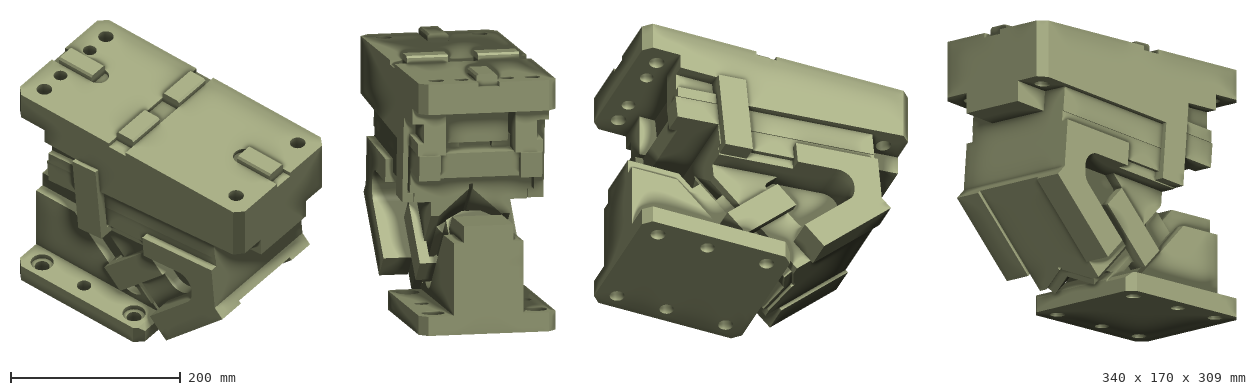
import cadquery as cq
import math

LENGTH = 340.0
WIDTH = 170.0
HALF_WIDTH = 82.3
HEIGHT = 309.0
CORNER = 10.0

TILT = math.radians(5)
TILT_START_Z = 203.0

ROOT2 = math.sqrt(2)

BASE_LENGTH = 189.0
FLANGE_HEIGHT = 22.8
BASE_TOP = 129.5
SHOULDER_TOP = 109.5
WEB_HALF = 30.0
BLOCK_HALF = 41.8
RAMP_H = 137.7
SHOULDER_H = 118.3
SLOT_END_S = 87.0
FLANGE_CUT_H = 145.5
STOP_H = 147.2
BASE_HOLE_INSET = 25.0
BASE_HOLE_Y = 62.0
BASE_BOLT_D = 17.7
BASE_BORE_D = 27.2
BASE_BORE_DEPTH = 6.5
DOWEL_D = 17.0
DOWEL_X = 88.5

ROOF = math.radians(30)
RAIL_HALF = 31.5
RAIL_EDGE_H = 150.3
RAIL_SKIRT_H = 121.0
RAIL_TOP_H = 162.2
RAIL_START_S = -20.7
RAIL_END_S = 102.5
WING_START_S = 50.3

FRONT_U = 95.0
END_U = 294.8
NOSE_U = 42.5
NOSE_HALF_GAP = 48.3
NOSE_SETBACK = 10.2
DECK_HALF = 74.0
DECK_V = -30.0
TEE_HALF = 73.0
TEE_V = -58.0
NECK_HALF = 68.0
NECK_V = -70.0
BODY_HALF = 47.5
BODY_H = 160.0
BODY_END_S = 135.0
CHEEK_U = 189.7
CHEEK_V = -42.0
CHEEK_TIP_H = 305.0
CHEEK_END_S = 139.0
CHEEK_FOOT_H = 184.5
CHEEK_INNER_S = 104.0
CHEEK_INNER_X = 267.2
CHEEK_RADIUS = 19.5
POCKET_FLOOR = 34.0
POCKET_START_S = 24.5
POCKET_H = 209.0
POCKET_SMALL_RADIUS = 8.0
GROOVE_HALF = 37.5
GROOVE_START_S = -54.5
RELIEF_HALF = 2.5
RELIEF_H = 184.3
PAD_START_S = 6.8
PAD_END_S = 131.5
STRAP_START_S = 35.5
STRAP_END_S = 69.5
STRAP_LOW_H = 128.2
STRAP_HIGH_H = 218.5
STRAP_OUTER = 57.8
STRAP_CLEAR = 45.2
STRAP_HOOK = 34.0

PLATE_TOP = 300.5
PLATE_LOW = 264.2
PLATE_STEP_X = 45.2
LIP_NECK = 68.0
LIP_HALF = 75.0
LIP_V = 14.3
STOP_V = -24.5
CAVITY_HALF = 41.8
CAVITY_BACK_X = 85.0
BOSS_HALF = 37.5
BOSS_FRONT_U = 68.0
BOSS_LOW_V = 9.0
BOSS_HIGH_V = 52.7
FOOT_FRONT_U = 74.8
FOOT_HIGH_V = 14.5
FOOT_SLOT_HALF = 19.7
RETAINER_END_U = 130.0
RETAINER_LOW_V = -69.0
RETAINER_HIGH_V = 34.0
RETAINER_LIP = 68.7
RETAINER_INNER = 76.0
RETAINER_HOOK_V = -59.0
KEY_WIDTH = 25.0
KEY_LENGTH = 49.5
KEY_CHAMFER = 2.5
KEYWAY_FLOOR = 295.0
END_KEY_INSET = 10.5
CROSS_KEY_X = 155.0
CROSS_KEY_Y = 43.0
PLATE_HOLE_INSET = 25.0
PLATE_HOLE_Y = 57.8
PLATE_HOLE_D = 18.5
PIN_HOLE_Y = 27.5
PIN_HOLE_D = 16.3

SIDES = (-1, 1)


def tilted(u, v):
    """X, Z of a point in the tilted frame."""
    x = u * math.cos(TILT) - v * math.sin(TILT)
    z = TILT_START_Z + u * math.sin(TILT) + v * math.cos(TILT)
    return x, z


def ramp(s, h):
    """X, Z of a point in the ramp frame."""
    return (h + s) / ROOT2, (h - s) / ROOT2


def tilted_meets_ramp(u, h):
    """X, Z where a line of constant u crosses a line of constant h."""
    total = h * ROOT2
    x = (u - (total - TILT_START_Z) * math.sin(TILT)) / (math.cos(TILT) - math.sin(TILT))
    return x, total - x


def tilted_at_x(x, v):
    """X, Z of the point with a given X on a line of constant v."""
    return x, TILT_START_Z + x * math.tan(TILT) + v / math.cos(TILT)


def slab(points, y0, y1):
    """Prism of an X-Z outline between two Y positions."""
    return cq.Workplane("XZ", origin=(0, y0, 0)).polyline(points).close().extrude(y0 - y1)


def middle_slab(points, half):
    """Prism of an X-Z outline, symmetric about the middle plane."""
    return slab(points, -half, half)


def side_slabs(points, inner, outer):
    """The same prism on both sides of the middle plane."""
    return slab(points, -outer, -inner).union(slab(points, inner, outer))


def tilted_box(u0, u1, v0, v1):
    return [tilted(u0, v0), tilted(u1, v0), tilted(u1, v1), tilted(u0, v1)]


def ramp_box(s0, s1, h0, h1):
    return [ramp(s0, h0), ramp(s1, h0), ramp(s1, h1), ramp(s0, h1)]


def ramp_bar(section, s0, s1):
    """Bar along the ramp with a section given as (y, h) points."""
    x, z = ramp(s0, 0)
    plane = cq.Plane(origin=(x, 0, z), xDir=(0, 1, 0), normal=(1, 0, -1))
    return cq.Workplane(plane).polyline(section).close().extrude(s1 - s0)


def roof_height(y):
    """Height h of the rail roof at a distance y from the middle plane."""
    return RAIL_EDGE_H + (RAIL_HALF - abs(y)) * math.tan(ROOF)


def roof_section(half, bottom):
    edge = roof_height(half)
    flat_half = (roof_height(0) - RAIL_TOP_H) / math.tan(ROOF)
    return [
        (-half, bottom),
        (half, bottom),
        (half, edge),
        (flat_half, RAIL_TOP_H),
        (-flat_half, RAIL_TOP_H),
        (-half, edge),
    ]


def corner_chamfered_plate(length, z0, z1):
    plate = cq.Workplane("XY", origin=(length / 2, 0, z0)).rect(length, 2 * HALF_WIDTH).extrude(z1 - z0)
    return plate.edges("|Z").chamfer(CORNER)


def base_flange():
    flange = corner_chamfered_plate(BASE_LENGTH, 0, FLANGE_HEIGHT)
    cut_z = FLANGE_CUT_H * ROOT2 - BASE_LENGTH
    cut_x = FLANGE_CUT_H * ROOT2 - FLANGE_HEIGHT
    cut = [(cut_x, FLANGE_HEIGHT), (BASE_LENGTH, FLANGE_HEIGHT), (BASE_LENGTH, cut_z)]
    flange = flange.cut(middle_slab(cut, HALF_WIDTH))
    bolts = [
        (x, side * BASE_HOLE_Y)
        for x in (BASE_HOLE_INSET, BASE_LENGTH - BASE_HOLE_INSET)
        for side in SIDES
    ]
    top = flange.copyWorkplane(cq.Workplane("XY", origin=(0, 0, FLANGE_HEIGHT)))
    flange = top.pushPoints(bolts).cboreHole(BASE_BOLT_D, BASE_BORE_D, BASE_BORE_DEPTH)
    top = flange.copyWorkplane(cq.Workplane("XY", origin=(0, 0, FLANGE_HEIGHT)))
    return top.pushPoints([(DOWEL_X, side * BASE_HOLE_Y) for side in SIDES]).hole(DOWEL_D)


def base_block():
    ramp_foot = (BASE_LENGTH, RAMP_H * ROOT2 - BASE_LENGTH)
    web = middle_slab(
        [(0, 0), (BASE_LENGTH, 0), ramp_foot, (RAMP_H * ROOT2 - BASE_TOP, BASE_TOP), (0, BASE_TOP)],
        WEB_HALF,
    )
    slot_radius = RAMP_H - SHOULDER_H
    arc_start_s = SLOT_END_S - slot_radius
    reach = slot_radius * math.sin(math.pi / 4)
    wide = (
        cq.Workplane("XZ")
        .moveTo(0, 0)
        .lineTo(BASE_LENGTH, 0)
        .lineTo(*ramp_foot)
        .lineTo(*ramp(SLOT_END_S, RAMP_H))
        .threePointArc(ramp(arc_start_s + reach, RAMP_H - reach), ramp(arc_start_s, SHOULDER_H))
        .lineTo(SHOULDER_H * ROOT2 - SHOULDER_TOP, SHOULDER_TOP)
        .lineTo(0, SHOULDER_TOP)
        .close()
        .extrude(BLOCK_HALF, both=True)
    )
    end_stop = middle_slab(
        [
            ramp(RAIL_END_S, RAMP_H),
            ramp_foot,
            (BASE_LENGTH, STOP_H * ROOT2 - BASE_LENGTH),
            ramp(RAIL_END_S, STOP_H),
        ],
        BLOCK_HALF,
    )
    return web.union(wide).union(end_stop)


def base_rail():
    skirted = ramp_bar(roof_section(RAIL_HALF, RAIL_SKIRT_H), RAIL_START_S, SLOT_END_S)
    rail = ramp_bar(roof_section(RAIL_HALF, RAMP_H), RAIL_START_S, RAIL_END_S)
    wings = ramp_bar(roof_section(BLOCK_HALF, RAMP_H), WING_START_S, RAIL_END_S)
    return skirted.union(rail).union(wings)


def make_base():
    return base_flange().union(base_block()).union(base_rail())


def slider_deck():
    deck = middle_slab(tilted_box(NOSE_U, END_U, DECK_V, 0), DECK_HALF)
    gap = tilted_box(NOSE_U, NOSE_U + NOSE_SETBACK, DECK_V, 0)
    tee = middle_slab(tilted_box(FRONT_U, END_U, TEE_V, DECK_V), TEE_HALF)
    neck = middle_slab(tilted_box(FRONT_U, END_U, NECK_V, TEE_V), NECK_HALF)
    return deck.cut(middle_slab(gap, NOSE_HALF_GAP)).union(tee).union(neck)


def slider_body():
    return middle_slab(
        [
            tilted(FRONT_U, NECK_V),
            tilted_meets_ramp(FRONT_U, BODY_H),
            ramp(BODY_END_S, BODY_H),
            ramp(BODY_END_S, CHEEK_TIP_H),
            tilted_meets_ramp(END_U, CHEEK_TIP_H),
            tilted(END_U, NECK_V),
        ],
        BODY_HALF,
    )


def hollow_corners():
    """Sharp inner corners that the cheeks and the side pockets share."""
    high = tilted_at_x(CHEEK_INNER_X, NECK_V)
    low = (CHEEK_INNER_X, CHEEK_INNER_X - CHEEK_INNER_S * ROOT2)
    return high, low


def cheek_hollow():
    high, low = hollow_corners()
    outline = [
        tilted(FRONT_U, NECK_V),
        high,
        low,
        ramp(CHEEK_INNER_S, CHEEK_FOOT_H),
        ramp(0, CHEEK_FOOT_H),
    ]
    hollow = middle_slab(outline, HALF_WIDTH)
    for corner in (high, low):
        hollow = hollow.edges(cq.NearestToPointSelector((corner[0], 0, corner[1]))).fillet(CHEEK_RADIUS)
    return hollow


def slider_cheeks():
    outline = [
        tilted(CHEEK_U, CHEEK_V),
        tilted(CHEEK_U, NECK_V),
        ramp(CHEEK_INNER_S, CHEEK_FOOT_H),
        ramp(CHEEK_END_S, CHEEK_FOOT_H),
        ramp(CHEEK_END_S, CHEEK_TIP_H),
        tilted_meets_ramp(END_U, CHEEK_TIP_H),
        tilted(END_U, CHEEK_V),
    ]
    return side_slabs(outline, BODY_HALF, HALF_WIDTH).cut(cheek_hollow())


def side_pockets():
    high, low = hollow_corners()
    near = ramp(POCKET_START_S, POCKET_H)
    far = ramp(CHEEK_INNER_S, POCKET_H)
    start_x = (POCKET_START_S * ROOT2 + TILT_START_Z + NECK_V / math.cos(TILT)) / (1 - math.tan(TILT))
    outline = [near, far, low, high, tilted_at_x(start_x, NECK_V)]
    rounds = (
        (near, POCKET_SMALL_RADIUS),
        (far, CHEEK_RADIUS),
        (low, CHEEK_RADIUS),
        (high, CHEEK_RADIUS),
    )
    pocket = middle_slab(outline, BODY_HALF)
    for corner, radius in rounds:
        pocket = pocket.edges(cq.NearestToPointSelector((corner[0], 0, corner[1]))).fillet(radius)
    core = cq.Workplane("XY").box(2 * LENGTH, 2 * POCKET_FLOOR, 2 * LENGTH)
    return pocket.cut(core)


def slider_groove():
    """Roof-shaped groove along the underside, with a relief slot at its ridge."""
    apex = BODY_H + GROOVE_HALF * math.tan(ROOF)
    vee = ramp_bar([(-GROOVE_HALF, BODY_H), (GROOVE_HALF, BODY_H), (0, apex)], GROOVE_START_S, BODY_END_S)
    relief = middle_slab(ramp_box(GROOVE_START_S, BODY_END_S, BODY_H, RELIEF_H), RELIEF_HALF)
    return vee.union(relief)


def slider_pads():
    """Wear layer between the groove and the rail roof."""
    apex = BODY_H + GROOVE_HALF * math.tan(ROOF)
    section = [
        (-GROOVE_HALF, BODY_H),
        (-RAIL_HALF, RAIL_EDGE_H),
        (0, roof_height(0)),
        (RAIL_HALF, RAIL_EDGE_H),
        (GROOVE_HALF, BODY_H),
        (0, apex),
    ]
    return ramp_bar(section, PAD_START_S, PAD_END_S)


def slider_strap(side):
    """Strap on the body side whose hook grips under the rail wing."""
    section = [
        (STRAP_OUTER, STRAP_LOW_H),
        (STRAP_HOOK, STRAP_LOW_H),
        (STRAP_HOOK, RAMP_H),
        (STRAP_CLEAR, RAMP_H),
        (STRAP_CLEAR, BODY_H),
        (BODY_HALF, BODY_H),
        (BODY_HALF, STRAP_HIGH_H),
        (STRAP_OUTER, STRAP_HIGH_H),
    ]
    return ramp_bar([(side * y, h) for y, h in section], STRAP_START_S, STRAP_END_S)


def make_slider():
    slider = slider_deck().union(slider_body()).cut(slider_groove()).cut(side_pockets())
    slider = slider.union(slider_cheeks()).union(slider_pads())
    for side in SIDES:
        slider = slider.union(slider_strap(side))
    return slider


def plate_block():
    plate = corner_chamfered_plate(LENGTH, 0, PLATE_TOP)
    outline = [
        (0, PLATE_LOW),
        (PLATE_STEP_X, PLATE_LOW),
        tilted_at_x(PLATE_STEP_X, 0),
        tilted_at_x(LENGTH, 0),
        (LENGTH, PLATE_TOP),
        (0, PLATE_TOP),
    ]
    return plate.intersect(middle_slab(outline, HALF_WIDTH))


def side_notches():
    """Room above the lips, from the step of the plate to the retainers."""
    corner = tilted(FRONT_U, RETAINER_HIGH_V)
    outline = [
        tilted_at_x(PLATE_STEP_X, 0),
        tilted(FRONT_U, 0),
        corner,
        (PLATE_STEP_X, corner[1]),
    ]
    return side_slabs(outline, LIP_NECK, HALF_WIDTH)


def side_lips():
    outline = [
        tilted_at_x(PLATE_STEP_X, 0),
        tilted(FRONT_U, 0),
        tilted(FRONT_U, LIP_V),
        tilted_at_x(PLATE_STEP_X, LIP_V),
    ]
    return side_slabs(outline, LIP_NECK, LIP_HALF)


def front_cavity():
    outline = [
        tilted_at_x(PLATE_STEP_X, 0),
        tilted_at_x(CAVITY_BACK_X, 0),
        (CAVITY_BACK_X, PLATE_LOW),
        (PLATE_STEP_X, PLATE_LOW),
    ]
    boss = tilted_box(BOSS_FRONT_U, FRONT_U, BOSS_LOW_V, BOSS_HIGH_V)
    foot = middle_slab(tilted_box(FOOT_FRONT_U, FRONT_U, 0, FOOT_HIGH_V), CAVITY_HALF)
    foot = foot.cut(middle_slab(tilted_box(FOOT_FRONT_U, FRONT_U, 0, BOSS_LOW_V), FOOT_SLOT_HALF))
    return middle_slab(outline, CAVITY_HALF).cut(middle_slab(boss, BOSS_HALF)).cut(foot)


def slider_stop():
    outline = [
        tilted(END_U, 0),
        tilted(END_U, STOP_V),
        tilted_at_x(LENGTH, STOP_V),
        tilted_at_x(LENGTH, 0),
    ]
    return middle_slab(outline, CAVITY_HALF)


def retainer(side, outer):
    """Clamp whose lower lip reaches under the slider tee."""
    body = tilted_box(FRONT_U, RETAINER_END_U, RETAINER_LOW_V, RETAINER_HIGH_V)
    recess = tilted_box(FRONT_U, RETAINER_END_U, RETAINER_HOOK_V, 0)
    clamp = slab(body, side * RETAINER_LIP, side * outer)
    return clamp.cut(slab(recess, side * RETAINER_LIP, side * RETAINER_INNER))


def keyways():
    depth = PLATE_TOP - KEYWAY_FLOOR
    floor = cq.Workplane("XY", origin=(0, 0, KEYWAY_FLOOR))
    cross = floor.center(CROSS_KEY_X, 0).rect(KEY_WIDTH, 2 * HALF_WIDTH).extrude(depth)
    round_centre = END_KEY_INSET + KEY_LENGTH
    slot_length = 2 * round_centre + KEY_WIDTH
    ends = floor.pushPoints([(0, 0), (LENGTH, 0)]).slot2D(slot_length, KEY_WIDTH).extrude(depth)
    return cross.union(ends)


def key(x, y, angle):
    """Key with its top long edges chamfered; its length lies along X at angle 0."""
    height = HEIGHT - KEYWAY_FLOOR
    bar = cq.Workplane("XY").box(KEY_LENGTH, KEY_WIDTH, height, centered=(True, True, False))
    bar = bar.edges("|X and >Z").chamfer(KEY_CHAMFER)
    return bar.rotate((0, 0, 0), (0, 0, 1), angle).translate((x, y, KEYWAY_FLOOR))


def plate_holes():
    inset, far = PLATE_HOLE_INSET, LENGTH - PLATE_HOLE_INSET
    bolts = [(x, side * PLATE_HOLE_Y) for x in (inset, far) for side in SIDES]
    pins = [(inset, side * PIN_HOLE_Y) for side in SIDES]
    start = cq.Workplane("XY")
    bolt_holes = start.pushPoints(bolts).circle(PLATE_HOLE_D / 2).extrude(HEIGHT)
    pin_holes = start.pushPoints(pins).circle(PIN_HOLE_D / 2).extrude(HEIGHT)
    return bolt_holes.union(pin_holes)


def make_upper():
    upper = plate_block().cut(side_notches()).union(side_lips()).cut(front_cavity())
    upper = upper.union(slider_stop())
    upper = upper.union(retainer(1, HALF_WIDTH)).union(retainer(-1, WIDTH - HALF_WIDTH))
    upper = upper.cut(keyways()).cut(plate_holes())
    end_key_x = END_KEY_INSET + KEY_LENGTH / 2
    for x in (end_key_x, LENGTH - end_key_x):
        upper = upper.union(key(x, 0, 0))
    for side in SIDES:
        upper = upper.union(key(CROSS_KEY_X, side * CROSS_KEY_Y, 90))
    return upper


base = make_base()
slider = make_slider()
upper = make_upper()

result = cq.Compound.makeCompound([body.solids().val() for body in (base, slider, upper)])